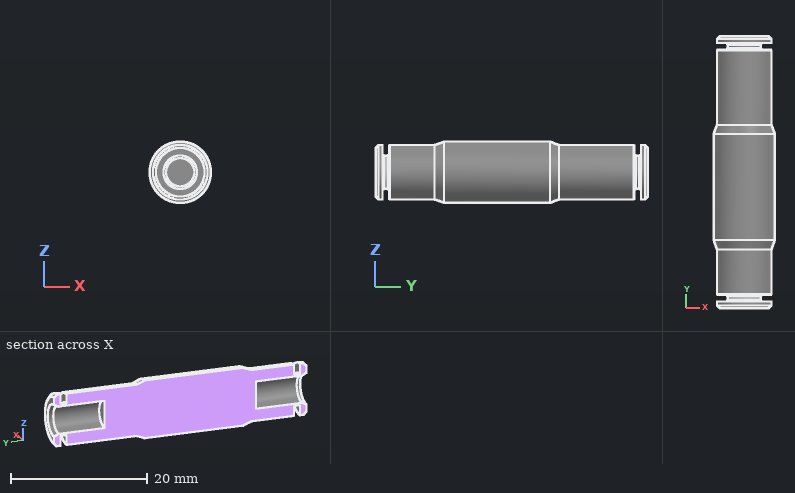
import cadquery as cq

length = 39.9
barrel_radius = 9.0 / 2
body_radius = 8.0 / 2

collar_width = 1.05
body_inset = 1.95
rear_cone_start = 13.0
rear_cone_end = 14.32
front_cone_start = 8.6
front_cone_end = 10.05

collar_chamfer = 0.45
body_chamfer = 0.1
neck_radius = 4.9 / 2
neck_flare = 0.08
neck_flare_width = 0.25

bore_radius = 4.15 / 2
mouth_radius = 4.9 / 2
mouth_depth = 0.7
bore_depth = 7.98


def end_profile(cone_start, cone_end):
    """Outer (radius, inset) points from an end face to the barrel."""
    flare_radius = neck_radius + neck_flare
    return [
        (0, 0),
        (body_radius - collar_chamfer, 0),
        (body_radius, collar_chamfer),
        (body_radius, collar_width),
        (flare_radius, collar_width),
        (neck_radius, collar_width + neck_flare_width),
        (neck_radius, body_inset - neck_flare_width),
        (flare_radius, body_inset),
        (body_radius - body_chamfer, body_inset),
        (body_radius, body_inset + body_chamfer),
        (body_radius, cone_start),
        (barrel_radius, cone_end),
    ]


def revolve_about_y(points):
    return cq.Workplane("XY").polyline(points).close().revolve(360, (0, 0), (0, 1))


def tube_socket(end):
    """Blind bore with a tapered mouth; end is -1 or +1 along Y."""
    profile = [
        (0, 0),
        (mouth_radius, 0),
        (bore_radius, mouth_depth),
        (bore_radius, bore_depth),
        (0, bore_depth),
    ]
    return revolve_about_y([(r, end * (length / 2 - inset)) for r, inset in profile])


front = [(r, inset - length / 2) for r, inset in end_profile(front_cone_start, front_cone_end)]
rear = [(r, length / 2 - inset) for r, inset in end_profile(rear_cone_start, rear_cone_end)]

result = revolve_about_y(front + rear[::-1])
for end in (-1, 1):
    result = result.cut(tube_socket(end))